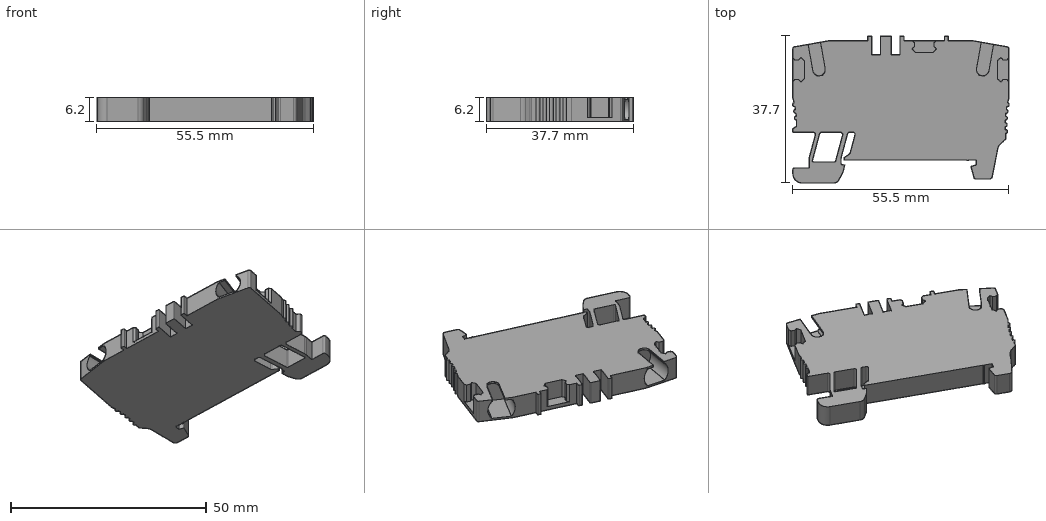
import cadquery as cq
import math

LENGTH = 55.55
WIDTH = 37.7
THICKNESS = 6.2
TOP_Z = THICKNESS / 2
BOTTOM_Z = -THICKNESS / 2

SIDE_X = 27.7
DECK_Y = 17.65
SHOULDER_X = 18.5
TILT = 10.0
SHOULDER_Y = DECK_Y - (SIDE_X - SHOULDER_X) * math.tan(math.radians(TILT))
SHOULDER_ROUND = 0.55
TOOTH_Y = WIDTH / 2
BASE_Y = -12.95
LEDGE_Y = -5.85

GRIP_RADIUS = 23.35
GRIP_X = 26.8
GRIP_Y = -3.6
GRIP_CENTER_X = GRIP_X + GRIP_RADIUS
LEFT_GRIP_END_Y = -4.3
RIGHT_GRIP_END_Y = -6.1
LEFT_CORNER_Y = -4.9
RIB_RADIUS = 0.5
RIB_TOP_Y = 1.3
RIB_PITCH = 1.7
LEFT_RIB_COUNT = 3
RIGHT_RIB_COUNT = 5

TEETH = [(-8.5, -7.45), (-5.3, -2.45), (-0.3, 0.85), (11.15, 12.15)]
TOOTH_ROUND = 0.2
JUMPER_SLOTS = [(TEETH[i][1], TEETH[i + 1][0]) for i in range(2)]
JUMPER_FLOOR_Y = 14.1

WEB_LEAN = math.tan(math.radians(15.0))
WEB_OUTER_X = -21.8
WINDOW_LEFT_X = -20.7
WINDOW_RIGHT_X = -14.8
WEB_INNER_X = -13.55
GAP_RIGHT_X = -11.6
WEB_KNEE_Y = -12.4
WINDOW_FLOOR_Y = -13.4
WINDOW_TOP_ROUND = 0.55
WINDOW_FLOOR_ROUND = 0.2
FOOT_TOP_Y = -14.95
FOOT_BOTTOM_Y = -WIDTH / 2
HOOK_TIP = (-14.4, -14.2)
HOOK_ROOT_Y = -14.05
LIP_X = -14.55
LIP_TOP_Y = -12.3
GAP_BOTTOM_Y = -11.35
HOOK_FLANK = (-14.8, -16.0)
HOOK_FLANK_ROUND = 4.45
FOOT_TOE_X = -16.35
FOOT_TOE_ROUND = 1.65
FOOT_HEEL_ROUND = 2.5
FOOT_TOP_ROUND = 0.5
WEB_ROOT_ROUND = 0.55
WEB_KNEE_ROUND = 2.8
GAP_ROUND = 0.5
SMALL_ROUND = 0.15
CORNER_ROUND = 0.2

RIGHT_FOOT_Y = -17.85
RIGHT_EDGE_X = 26.95
RIGHT_EDGE_Y = -7.5
RIGHT_EDGE_ROUND = 0.5
FLANK_KNEE = (25.0, -9.35)
FLANK_KNEE_ROUND = 2.2
RIGHT_HEEL_X = 23.35
RIGHT_HEEL_ROUND = 0.9
RIGHT_TOE_X = 18.85
RIGHT_TOE_ROUND = 0.55
RIGHT_FOOT_ROOT = (19.3, -14.15)
RIGHT_HOOK_TIP = (17.95, -14.55)
STOP_X = 17.1
STOP_WIDTH = 0.35
STOP_HEIGHT = 0.15

POCKET_FLOOR_Z = -2.05
POCKET_PROFILE = [(3.1, 0.0), (2.55, 0.5), (2.55, 1.5), (3.1, 2.1), (2.3, 3.0)]
TOP_POCKET_X = 6.0
SIDE_POCKET_Y = 10.2

BORE_RADIUS = 3.6
BORE_HALF_HEIGHT = 2.55
BORE_SHIFT = 0.7
FUNNEL_SLOT_RADIUS = 1.6
FUNNEL_X = 21.0
FUNNEL_Y = 10.3
FUNNEL_LENGTH = 11.1


def grip_x(y):
    """Distance of the grip arc from the middle plane at height y."""
    return GRIP_CENTER_X - math.sqrt(GRIP_RADIUS**2 - (y - GRIP_Y)**2)


def slanted_x(x_at_ledge, y):
    """Position at height y on a slanted web line."""
    return x_at_ledge + (y - LEDGE_Y) * WEB_LEAN


def rounded_prism(corners):
    """Plate of full thickness from (x, y, corner radius) points."""
    outline = cq.Workplane("XY").workplane(offset=BOTTOM_Z)
    count = len(corners)
    for i, (x, y, radius) in enumerate(corners):
        before = cq.Vector(*corners[i - 1][:2])
        after = cq.Vector(*corners[(i + 1) % count][:2])
        corner = cq.Vector(x, y)
        stops = [corner]
        if radius:
            to_before = (before - corner).normalized()
            to_after = (after - corner).normalized()
            half_angle = to_before.getAngle(to_after) / 2
            setback = radius / math.tan(half_angle)
            bisector = (to_before + to_after).normalized()
            middle = corner + bisector * (radius / math.sin(half_angle) - radius)
            stops = [corner + to_before * setback, middle, corner + to_after * setback]
        start = stops[0].toTuple()[:2]
        outline = outline.lineTo(*start) if i else outline.moveTo(*start)
        if radius:
            outline = outline.threePointArc(stops[1].toTuple()[:2], stops[2].toTuple()[:2])
    return outline.close().extrude(THICKNESS)


def main_plate():
    """Main plate with both feet, before the grips and pockets are cut."""
    inner_knee_x = slanted_x(WEB_INNER_X, WEB_KNEE_Y)
    outer_knee_x = slanted_x(WEB_OUTER_X, WEB_KNEE_Y)
    return rounded_prism([
        (-SIDE_X, SHOULDER_Y, SHOULDER_ROUND),
        (-SHOULDER_X, DECK_Y, 0),
        (SHOULDER_X, DECK_Y, 0),
        (SIDE_X, SHOULDER_Y, SHOULDER_ROUND),
        (SIDE_X, RIGHT_GRIP_END_Y, 0),
        (RIGHT_EDGE_X, RIGHT_GRIP_END_Y, 0),
        (RIGHT_EDGE_X, RIGHT_EDGE_Y, RIGHT_EDGE_ROUND),
        (*FLANK_KNEE, FLANK_KNEE_ROUND),
        (RIGHT_HEEL_X, RIGHT_FOOT_Y, RIGHT_HEEL_ROUND),
        (RIGHT_TOE_X, RIGHT_FOOT_Y, RIGHT_TOE_ROUND),
        (*RIGHT_HOOK_TIP, SMALL_ROUND),
        (*RIGHT_FOOT_ROOT, 0),
        (RIGHT_FOOT_ROOT[0], BASE_Y, 0),
        (LIP_X, BASE_Y, 0),
        (LIP_X, LIP_TOP_Y, SMALL_ROUND),
        (slanted_x(GAP_RIGHT_X, GAP_BOTTOM_Y), GAP_BOTTOM_Y, GAP_ROUND),
        (GAP_RIGHT_X, LEDGE_Y, GAP_ROUND),
        (WEB_INNER_X, LEDGE_Y, WEB_ROOT_ROUND),
        (inner_knee_x, WEB_KNEE_Y, WEB_KNEE_ROUND),
        (inner_knee_x, HOOK_ROOT_Y, SMALL_ROUND),
        (*HOOK_TIP, 0),
        (*HOOK_FLANK, HOOK_FLANK_ROUND),
        (FOOT_TOE_X, FOOT_BOTTOM_Y, FOOT_TOE_ROUND),
        (-SIDE_X, FOOT_BOTTOM_Y, FOOT_HEEL_ROUND),
        (-SIDE_X, FOOT_TOP_Y, FOOT_TOP_ROUND),
        (outer_knee_x, FOOT_TOP_Y, 0),
        (outer_knee_x, WEB_KNEE_Y, WEB_KNEE_ROUND),
        (WEB_OUTER_X, LEDGE_Y, WEB_ROOT_ROUND),
        (-SIDE_X, LEDGE_Y, CORNER_ROUND),
        (-SIDE_X, LEFT_CORNER_Y, CORNER_ROUND),
        (-grip_x(LEFT_GRIP_END_Y), LEFT_GRIP_END_Y, 0),
        (-SIDE_X, LEFT_GRIP_END_Y, 0),
    ])


def window():
    """Slanted through window between the two webs."""
    return rounded_prism([
        (WINDOW_LEFT_X, LEDGE_Y, WINDOW_TOP_ROUND),
        (WINDOW_RIGHT_X, LEDGE_Y, WINDOW_TOP_ROUND),
        (slanted_x(WINDOW_RIGHT_X, WINDOW_FLOOR_Y), WINDOW_FLOOR_Y, WINDOW_FLOOR_ROUND),
        (slanted_x(WINDOW_LEFT_X, WINDOW_FLOOR_Y), WINDOW_FLOOR_Y, WINDOW_FLOOR_ROUND),
    ])


RIB_OFFSET = LENGTH / 2 - RIB_RADIUS - grip_x(RIB_TOP_Y)


def grip_cut(side, end_y):
    """Shallow arc hollow in one side wall, down to end_y; side is -1 for left, +1 for right."""
    cylinder = (
        cq.Workplane("XY", origin=(side * GRIP_CENTER_X, GRIP_Y, BOTTOM_Z))
        .circle(GRIP_RADIUS)
        .extrude(THICKNESS)
    )
    limit = cq.Workplane("XY").box(2 * LENGTH, LENGTH, LENGTH, centered=(True, False, True))
    return cylinder.intersect(limit.translate((0, end_y, 0)))


def grip_ribs(side, count):
    """Round-nosed ribs standing out of one grip."""
    heights = [RIB_TOP_Y - i * RIB_PITCH for i in range(count)]
    centers = [(side * (grip_x(y) + RIB_OFFSET), y) for y in heights]
    return (
        cq.Workplane("XY", origin=(0, 0, BOTTOM_Z))
        .pushPoints(centers)
        .circle(RIB_RADIUS)
        .extrude(THICKNESS)
    )


def tooth(left, right):
    """One tooth on the upper edge."""
    return rounded_prism([
        (left, JUMPER_FLOOR_Y, 0),
        (left, TOOTH_Y, TOOTH_ROUND),
        (right, TOOTH_Y, TOOTH_ROUND),
        (right, JUMPER_FLOOR_Y, 0),
    ])


def jumper_slot(left, right):
    """Straight slot through the upper edge."""
    return rounded_prism([
        (left, JUMPER_FLOOR_Y, 0),
        (left, TOOTH_Y, 0),
        (right, TOOTH_Y, 0),
        (right, JUMPER_FLOOR_Y, 0),
    ])


def marker_pocket(x, y, turn):
    """Dovetail pocket open upwards; at turn 0 it goes in along -Y from (x, y)."""
    left = [(-half, -depth) for half, depth in POCKET_PROFILE]
    right = [(half, -depth) for half, depth in reversed(POCKET_PROFILE)]
    return (
        cq.Workplane("XY")
        .polyline(left + right)
        .close()
        .extrude(TOP_Z - POCKET_FLOOR_Z)
        .rotate((0, 0, 0), (0, 0, 1), turn)
        .translate((x, y, POCKET_FLOOR_Z))
    )


def funnel(side):
    """Flattened bore square to the shoulder, with a narrower round-ended slot above it."""
    bore = (
        cq.Workplane("XZ", origin=(-side * BORE_SHIFT, -FUNNEL_SLOT_RADIUS, 0))
        .circle(BORE_RADIUS)
        .extrude(-FUNNEL_LENGTH)
        .intersect(cq.Workplane("XY").box(LENGTH, LENGTH, 2 * BORE_HALF_HEIGHT))
    )
    slot = (
        cq.Workplane("XY")
        .moveTo(-FUNNEL_SLOT_RADIUS, FUNNEL_LENGTH)
        .lineTo(-FUNNEL_SLOT_RADIUS, 0)
        .threePointArc((0, -FUNNEL_SLOT_RADIUS), (FUNNEL_SLOT_RADIUS, 0))
        .lineTo(FUNNEL_SLOT_RADIUS, FUNNEL_LENGTH)
        .close()
        .extrude(TOP_Z)
    )
    return (
        bore.union(slot)
        .rotate((0, 0, 0), (0, 0, 1), -side * TILT)
        .translate((side * FUNNEL_X, FUNNEL_Y, 0))
    )


def stop_bead():
    """Small bead on the lower edge near the fixed foot."""
    return (
        cq.Workplane("XY")
        .box(STOP_WIDTH, 2 * STOP_HEIGHT, THICKNESS)
        .translate((STOP_X, BASE_Y, 0))
    )


def make_housing():
    """Complete terminal block housing with its spring foot."""
    body = main_plate().cut(window()).union(stop_bead())
    for left, right in TEETH:
        body = body.union(tooth(left, right))
    for left, right in JUMPER_SLOTS:
        body = body.cut(jumper_slot(left, right))
    for side, end_y, count in (
        (-1, LEFT_GRIP_END_Y, LEFT_RIB_COUNT),
        (1, RIGHT_GRIP_END_Y, RIGHT_RIB_COUNT),
    ):
        body = body.cut(grip_cut(side, end_y)).union(grip_ribs(side, count))
        body = body.cut(funnel(side))
        body = body.cut(marker_pocket(side * SIDE_X, SIDE_POCKET_Y, -side * 90))
    return body.cut(marker_pocket(TOP_POCKET_X, DECK_Y, 0))


housing = make_housing()
result = cq.Compound.makeCompound([housing.val()])